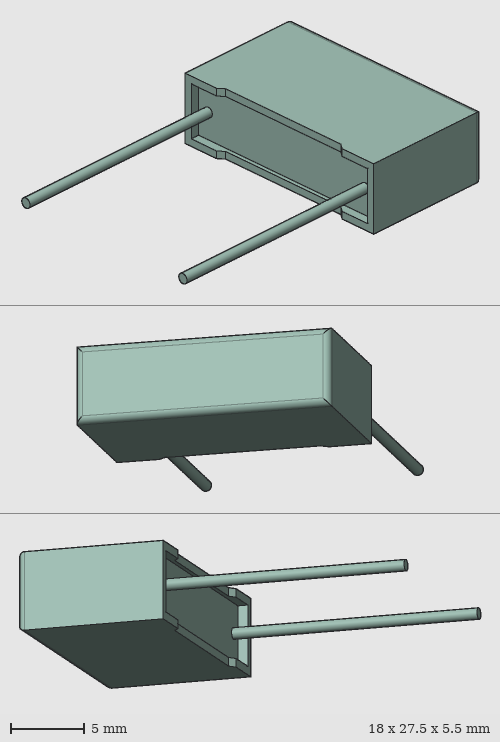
import cadquery as cq

case_width = 18.0
case_depth = 10.5
case_height = 5.5
wall = 0.6
back_edge_radius = 0.5

relief_rim_width = 12.0
relief_floor_width = 11.0
relief_depth = 0.38

potting_recess = 0.72

lead_diameter = 0.8
lead_pitch = 15.0
overall_length = 27.5

lead_tip_y = case_depth - overall_length
cavity_width = case_width - 2 * wall
cavity_height = case_height - 2 * wall
cavity_end_y = case_depth - wall


def box_along_y(width, height, start_y, end_y):
    """Box centred on X and Z that runs from start_y to end_y."""
    return (
        cq.Workplane("XY")
        .box(width, end_y - start_y, height, centered=(True, False, True))
        .translate((0, start_y, 0))
    )


def make_case():
    shell = box_along_y(case_width, case_height, 0, case_depth)
    shell = shell.faces(">Y").edges().fillet(back_edge_radius)
    cavity = box_along_y(cavity_width, cavity_height, 0, cavity_end_y)
    rim_relief = (
        cq.Workplane("XY")
        .polyline([
            (-relief_rim_width / 2, 0),
            (-relief_floor_width / 2, relief_depth),
            (relief_floor_width / 2, relief_depth),
            (relief_rim_width / 2, 0),
        ])
        .close()
        .extrude(case_height / 2, both=True)
    )
    return shell.cut(cavity).cut(rim_relief)


def make_potting():
    return box_along_y(cavity_width, cavity_height, potting_recess, cavity_end_y)


def make_lead(x):
    lead_length = potting_recess - lead_tip_y
    lead = cq.Solid.makeCylinder(
        lead_diameter / 2,
        lead_length,
        cq.Vector(x, lead_tip_y, 0),
        cq.Vector(0, 1, 0),
    )
    return cq.Workplane(obj=lead)


case = make_case()
potting = make_potting()
leads = [make_lead(side * lead_pitch / 2) for side in (-1, 1)]

result = cq.Compound.makeCompound([
    case.val(),
    potting.val(),
    *[lead.val() for lead in leads],
])